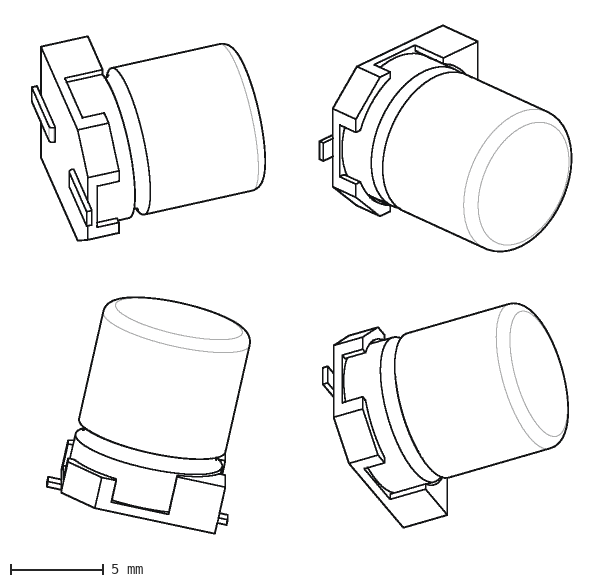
import cadquery as cq


lead_span = 9.9
lead_gap = 3.3
lead_width = 1.1
lead_thickness = 0.3
lead_round = 0.2

base_size = 8.48
base_corner_cut = 1.86
base_floor = 0.52
tall_post_height = 2.65
short_post_height = 1.75
window_width = 3.15
seat_diameter = 8.4

total_length = 10.51
can_diameter = 8.1
can_top_round = 0.55
groove_radius = 0.43
groove_height = 3.45

base_bottom = lead_thickness
can_bottom = base_bottom + base_floor
post_top = base_bottom + tall_post_height
can_radius = can_diameter / 2
base_half = base_size / 2
window_half = window_width / 2


def block(x_start, x_end, y_start, y_end, depth):
    """Box between the given X and Y limits, centred on Z."""
    return (
        cq.Workplane("XY")
        .box(x_end - x_start, y_end - y_start, depth, centered=(False, False, True))
        .translate((x_start, y_start, 0))
    )


def make_can():
    """Rounded can with a half-round crimp groove, revolved about the Y axis."""
    profile = (
        cq.Workplane("XY")
        .moveTo(0, can_bottom)
        .lineTo(can_radius, can_bottom)
        .lineTo(can_radius, groove_height - groove_radius)
        .threePointArc(
            (can_radius - groove_radius, groove_height),
            (can_radius, groove_height + groove_radius),
        )
        .lineTo(can_radius, total_length - can_top_round)
        .tangentArcPoint((can_radius - can_top_round, total_length), relative=False)
        .lineTo(0, total_length)
        .close()
    )
    return profile.revolve(360, (0, 0, 0), (0, 1, 0))


def make_base():
    """Square base with two cut corners on +X and four corner posts around the can."""
    base = block(-base_half, base_half, base_bottom, post_top, base_size)
    base = base.edges("|Y and >X").chamfer(base_corner_cut)

    base = base.cut(block(0, base_half, base_bottom + short_post_height, post_top, base_size))

    seat = (
        cq.Workplane("XZ", origin=(0, can_bottom, 0))
        .circle(seat_diameter / 2)
        .extrude(-tall_post_height)
    )
    base = base.cut(seat)

    base = base.cut(block(-base_half, base_half, can_bottom, post_top, window_width))
    base = base.cut(block(-window_half, window_half, can_bottom, post_top, base_size))
    return base


def make_lead(side):
    """Flat lead on the +X (side = 1) or -X (side = -1) half, rounded at its inner end."""
    lead = block(lead_gap / 2, lead_span / 2, 0, lead_thickness, lead_width)
    lead = lead.edges("|Z and <X and <Y").fillet(lead_round)
    if side < 0:
        lead = lead.mirror("YZ")
    return lead


can = make_can()
base = make_base()
leads = [make_lead(side) for side in (-1, 1)]

result = cq.Compound.makeCompound([can.val(), base.val(), *[lead.val() for lead in leads]])